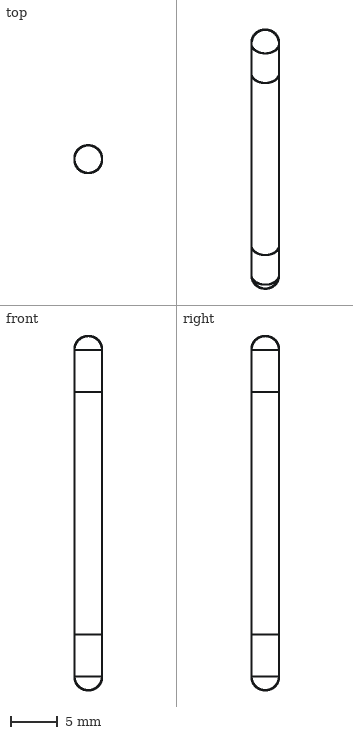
import cadquery as cq

TOTAL_LENGTH = 38.0
RADIUS = 1.5
SLEEVE_LENGTH = 4.5

DOME_BASE = TOTAL_LENGTH / 2 - RADIUS
CORE_HALF_LENGTH = DOME_BASE - SLEEVE_LENGTH


def make_core():
    """Long central cylinder between the two sleeves."""
    return (
        cq.Workplane("XY")
        .workplane(offset=-CORE_HALF_LENGTH)
        .circle(RADIUS)
        .extrude(2 * CORE_HALF_LENGTH)
    )


def make_upper_sleeve():
    """Short cylinder between the core and the upper dome."""
    return (
        cq.Workplane("XY")
        .workplane(offset=CORE_HALF_LENGTH)
        .circle(RADIUS)
        .extrude(SLEEVE_LENGTH)
    )


def make_upper_dome():
    """Hemisphere that closes the upper end of the rod."""
    return (
        cq.Workplane("XZ")
        .moveTo(0, DOME_BASE)
        .lineTo(RADIUS, DOME_BASE)
        .radiusArc((0, DOME_BASE + RADIUS), -RADIUS)
        .close()
        .revolve(360, (0, 0, 0), (0, 1, 0))
    )


core = make_core()

end_bodies = []
for make_end_piece in (make_upper_sleeve, make_upper_dome):
    upper_piece = make_end_piece()
    lower_piece = upper_piece.mirror("XY")
    end_bodies += [upper_piece.val(), lower_piece.val()]

result = cq.Compound.makeCompound([core.val(), *end_bodies])